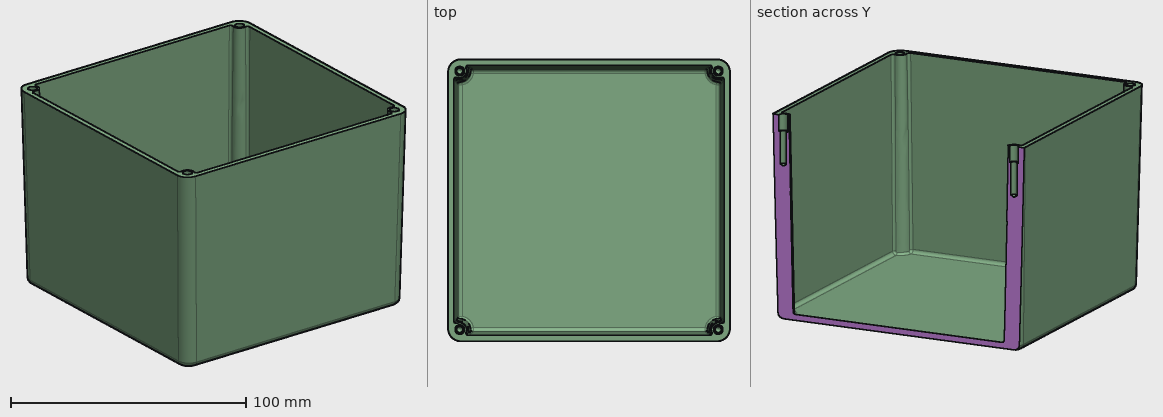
import cadquery as cq
import math

RIM_SIDE = 120.0
HEIGHT = 90.0
DRAFT_ANGLE = 1.2
OUTER_CORNER_RADIUS = 5.5
OUTER_BOTTOM_RADIUS = 2.5

RIM_WALL = 2.5
FLOOR_THICKNESS = 2.5
FLOOR_FILLET = 1.7

BOSS_INSET = 5.0
BOSS_TOP_RADIUS = 2.9
BOSS_BLEND_RADIUS = 1.1

COUNTERBORE_DIAMETER = 4.0
COUNTERBORE_DEPTH = 7.2
DRILL_DIAMETER = 2.6
DRILL_DEPTH = 21.6
DRILL_POINT_ANGLE = 118.0

DRAFT_SLOPE = math.tan(math.radians(DRAFT_ANGLE))
CAVITY_DEPTH = HEIGHT - FLOOR_THICKNESS
BOSS_POSITION = RIM_SIDE / 2 - BOSS_INSET
BOSS_CENTERS = [(sx * BOSS_POSITION, sy * BOSS_POSITION) for sx in (-1, 1) for sy in (-1, 1)]


def drafted_block(top_side, depth):
    """Square block hanging down from the rim plane, narrowing with the draft."""
    return (
        cq.Workplane("XY", origin=(0, 0, HEIGHT))
        .rect(top_side, top_side)
        .extrude(-depth, taper=DRAFT_ANGLE)
    )


def outer_shell():
    """Solid outside shape with rounded corners and a rounded bottom edge."""
    block = drafted_block(RIM_SIDE, HEIGHT)
    block = block.edges("not(|X or |Y)").fillet(OUTER_CORNER_RADIUS)
    return block.faces("<Z").edges().fillet(OUTER_BOTTOM_RADIUS)


def boss(center):
    """Post that widens toward the floor with the draft, filled out to the shell corner."""
    bottom_radius = BOSS_TOP_RADIUS + CAVITY_DEPTH * DRAFT_SLOPE
    cone = cq.Solid.makeCone(
        BOSS_TOP_RADIUS,
        bottom_radius,
        CAVITY_DEPTH,
        pnt=cq.Vector(center[0], center[1], HEIGHT),
        dir=cq.Vector(0, 0, -1),
    )
    fill_middle = (
        center[0] + math.copysign(BOSS_INSET / 2, center[0]),
        center[1] + math.copysign(BOSS_INSET / 2, center[1]),
        HEIGHT - CAVITY_DEPTH / 2,
    )
    corner_fill = cq.Workplane("XY", origin=fill_middle).box(BOSS_INSET, BOSS_INSET, CAVITY_DEPTH)
    return corner_fill.union(cq.Workplane(cone))


def cavity():
    """Inside space: drafted walls, bosses blended into them, rounded floor edge."""
    space = drafted_block(RIM_SIDE - 2 * RIM_WALL, CAVITY_DEPTH)
    space = space.faces("<Z").edges().fillet(FLOOR_FILLET)
    for center in BOSS_CENTERS:
        space = space.cut(boss(center))
    return space.faces("%CONE").edges("not >Z").fillet(BOSS_BLEND_RADIUS)


def screw_hole(center):
    """Blind hole from the rim into a boss: a wider top, a narrower drill and its cone point."""
    top_radius = COUNTERBORE_DIAMETER / 2
    drill_radius = DRILL_DIAMETER / 2
    point_length = drill_radius / math.tan(math.radians(DRILL_POINT_ANGLE / 2))
    half_profile = (
        cq.Workplane("XZ", origin=(center[0], center[1], HEIGHT))
        .lineTo(top_radius, 0)
        .lineTo(top_radius, -COUNTERBORE_DEPTH)
        .lineTo(drill_radius, -COUNTERBORE_DEPTH)
        .lineTo(drill_radius, -DRILL_DEPTH)
        .lineTo(0, -DRILL_DEPTH - point_length)
        .close()
    )
    return half_profile.revolve(360, (0, 0), (0, 1))


result = outer_shell().cut(cavity())
for boss_center in BOSS_CENTERS:
    result = result.cut(screw_hole(boss_center))